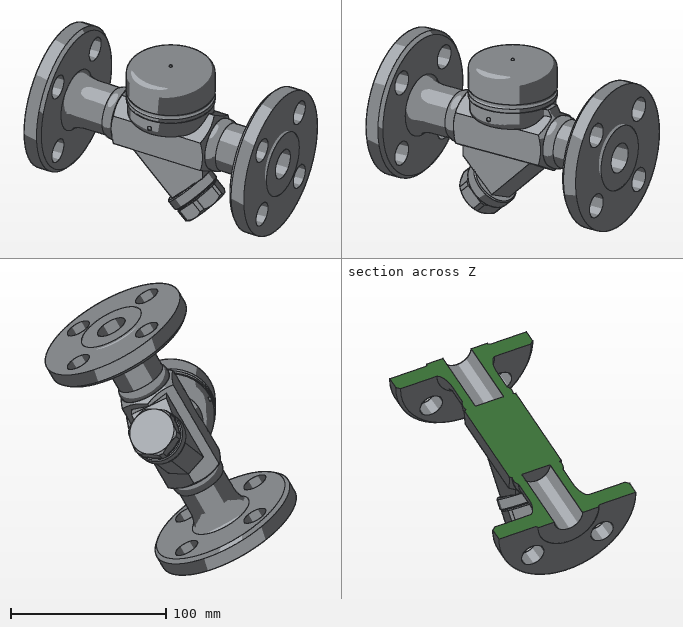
import cadquery as cq
import math

length = 165.0
half_length = length / 2
bore_diameter = 20.0

flange_diameter = 98.0
flange_thickness = 11.5
flange_chamfer = 2.3
raised_face_diameter = 43.5
raised_face_height = 1.6
bolt_hole_diameter = 16.0
bolt_offset = 24.8

pipe_diameter = 32.0
hub_radius = 18.2
hub_root_radius = 20.6
hub_root_length = 2.6
hub_length = 9.4
collar_radius = 17.2
collar_crown_radius = 17.5
collar_crown = 3.3
collar_length = 7.3

block_flats = 37.0
block_half_length = 34.5
block_end_radius = 17.0
block_chamfer_angle = 30.0
rib_width = 10.0
rib_top = 23.0
rib_fillet = 1.6

seat_diameter = 56.0
seat_top = 24.0
seat_corner_z = 15.7
seat_corner_radius = 5.1
seat_root_cone = 2.3
button_diameter = 3.0
button_z = 17.3

cap_diameter = 57.5
cap_top = 48.8
cap_corner_radius = 5.5
cap_groove_bottom = 26.9
cap_groove_width = 3.1
cap_groove_depth = 1.2
centre_dot_diameter = 2.0
centre_dot_height = 1.2

branch_axis_offset = 17.8
branch_flats = 25.2
branch_start = -5.0
branch_end = 36.3
branch_roof = 12.4
branch_side_x = 30.2
boss_diameter = 34.0
boss_end = 44.5
boss_chamfer = 0.8
neck_radius = 15.2
head_start = 45.5
head_end = 55.0
head_flats = 30.0
head_corner_radius = 16.5
head_chamfer = 1.5

flange_outer_x = half_length - raised_face_height
flange_back_x = flange_outer_x - flange_thickness
hub_end_x = flange_back_x - hub_root_length
pipe_start_x = hub_end_x - hub_length
pipe_radius = pipe_diameter / 2
seat_radius = seat_diameter / 2
cap_radius = cap_diameter / 2

branch_frame = cq.Plane(origin=(0, 0, 0), xDir=(1, 0, 1), normal=(1, 0, -1))


def hexagon_points(flats):
    """Corners of a hexagon with two corners on its local X axis."""
    corner_radius = flats / math.sqrt(3)
    angles = [math.radians(60 * i) for i in range(6)]
    return [(corner_radius * math.cos(a), corner_radius * math.sin(a)) for a in angles]


def make_flanged_pipe():
    """Flange, hub, pipe and collar on the +X side, as one revolved outline."""
    rim = flange_diameter / 2
    face = raised_face_diameter / 2
    crown_x = block_half_length + collar_crown
    collar_end_x = block_half_length + collar_length
    outline = (
        cq.Workplane("XY")
        .moveTo(0, 0)
        .lineTo(0, pipe_radius)
        .lineTo(block_half_length, pipe_radius)
        .lineTo(block_half_length, collar_radius)
        .threePointArc((crown_x, collar_crown_radius), (collar_end_x, pipe_radius))
        .lineTo(pipe_start_x, pipe_radius)
        .tangentArcPoint((hub_end_x, hub_radius), relative=False)
        .tangentArcPoint((flange_back_x, hub_root_radius), relative=False)
        .lineTo(flange_back_x, rim - flange_chamfer)
        .lineTo(flange_back_x + flange_chamfer, rim)
        .lineTo(flange_outer_x, rim)
        .lineTo(flange_outer_x, face + raised_face_height)
        .radiusArc((half_length, face), -raised_face_height)
        .lineTo(half_length, 0)
        .close()
    )
    pipe = outline.revolve(360, (0, 0, 0), (1, 0, 0))
    bolt_holes = (
        cq.Workplane("YZ", origin=(flange_back_x, 0, 0))
        .rect(2 * bolt_offset, 2 * bolt_offset, forConstruction=True)
        .vertices()
        .circle(bolt_hole_diameter / 2)
        .extrude(flange_thickness)
    )
    return pipe.cut(bolt_holes)


def make_bore():
    """Blind bore from the +X face to the end of the centre block."""
    return (
        cq.Workplane("YZ", origin=(block_half_length, 0, 0))
        .circle(bore_diameter / 2)
        .extrude(half_length - block_half_length)
    )


def make_centre_block():
    """Hexagonal bar and inlet rib, with conical chamfers at both ends."""
    hexagon = (
        cq.Workplane(cq.Plane(origin=(-block_half_length, 0, 0), xDir=(0, 0, 1), normal=(1, 0, 0)))
        .polyline(hexagon_points(block_flats))
        .close()
        .extrude(2 * block_half_length)
    )
    rib = cq.Workplane("XY").box(block_half_length, rib_width, rib_top, centered=(False, True, False))
    rib = rib.translate((-block_half_length, 0, 0))
    chamfer_radius = rib_top + rib_width
    chamfer_length = (chamfer_radius - block_end_radius) * math.tan(math.radians(block_chamfer_angle))
    envelope = (
        cq.Workplane("XY")
        .moveTo(-block_half_length, 0)
        .lineTo(-block_half_length, block_end_radius)
        .lineTo(-block_half_length + chamfer_length, chamfer_radius)
        .lineTo(block_half_length - chamfer_length, chamfer_radius)
        .lineTo(block_half_length, block_end_radius)
        .lineTo(block_half_length, 0)
        .close()
        .revolve(360, (0, 0, 0), (1, 0, 0))
    )
    return hexagon.union(rib).intersect(envelope)


def make_seat():
    """Bowl-shaped round seat with a conical root that runs out on the block flats."""
    floor_z = seat_corner_z - seat_corner_radius
    floor_radius = seat_radius - seat_corner_radius
    root_radius = block_flats / 2
    return (
        cq.Workplane("XZ")
        .moveTo(0, seat_top)
        .lineTo(seat_radius, seat_top)
        .lineTo(seat_radius, seat_corner_z)
        .tangentArcPoint((floor_radius, floor_z), relative=False)
        .lineTo(root_radius + seat_root_cone, floor_z)
        .lineTo(root_radius, floor_z - seat_root_cone)
        .lineTo(0, floor_z - seat_root_cone)
        .close()
        .revolve(360, (0, 0, 0), (0, 1, 0))
    )


def make_buttons():
    """Small balls set half into the front and back of the seat."""
    return (
        cq.Workplane("XY")
        .pushPoints([(0, -seat_radius), (0, seat_radius)])
        .sphere(button_diameter / 2)
        .translate((0, 0, button_z))
    )


def make_branch():
    """Hexagonal strainer branch with flat sides that run up into the block."""
    half_width = branch_flats / 2
    corner = branch_flats / math.sqrt(3)
    profile = [
        (-branch_axis_offset - corner, 0),
        (-branch_axis_offset - corner / 2, half_width),
        (branch_roof, half_width),
        (branch_roof, -half_width),
        (-branch_axis_offset - corner / 2, -half_width),
    ]
    branch = (
        cq.Workplane(branch_frame)
        .workplane(offset=branch_start)
        .polyline(profile)
        .close()
        .extrude(branch_end - branch_start)
    )
    beyond_side = cq.Workplane("XY").box(length, length, length).translate((branch_side_x + length / 2, 0, 0))
    return branch.cut(beyond_side)


def branch_cylinder(start, end, radius):
    """Cylinder on the branch axis."""
    return (
        cq.Workplane(branch_frame)
        .workplane(offset=start)
        .center(-branch_axis_offset, 0)
        .circle(radius)
        .extrude(end - start)
    )


def make_strainer_end():
    """Round boss, short neck and hexagonal head closing the branch."""
    boss = branch_cylinder(branch_end, boss_end, boss_diameter / 2).edges().chamfer(boss_chamfer)
    neck = branch_cylinder(boss_end, head_start, neck_radius)
    head = (
        cq.Workplane(branch_frame)
        .workplane(offset=head_start)
        .center(-branch_axis_offset, 0)
        .polyline(hexagon_points(head_flats))
        .close()
        .extrude(head_end - head_start)
    )
    turned = branch_cylinder(head_start, head_end, head_corner_radius)
    turned = turned.faces(cq.selectors.DirectionMinMaxSelector(cq.Vector(1, 0, -1), True)).chamfer(head_chamfer)
    return boss.union(neck).union(head.intersect(turned))


def make_body():
    """Valve body with both flanges, the seat and the strainer branch."""
    rib_corner_x = -math.sqrt(seat_radius**2 - (rib_width / 2) ** 2)
    near = 0.2
    body = make_centre_block().union(make_seat())
    for side in (-1, 1):
        y = side * rib_width / 2
        corner = cq.selectors.BoxSelector(
            (rib_corner_x - near, y - near, block_flats / 2),
            (rib_corner_x + near, y + near, rib_top),
        )
        body = body.edges(corner).edges("|Z").fillet(rib_fillet)
    body = body.union(make_branch()).union(make_strainer_end()).union(make_buttons())
    for turn in (0, 180):
        body = body.union(make_flanged_pipe().rotate((0, 0, 0), (0, 0, 1), turn))
    for turn in (0, 180):
        body = body.cut(make_bore().rotate((0, 0, 0), (0, 0, 1), turn))
    return body


def make_cap():
    """Round cap with a rounded groove near its base and a dot on top."""
    groove_top = cap_groove_bottom + cap_groove_width
    groove_middle = cap_groove_bottom + cap_groove_width / 2
    cap = (
        cq.Workplane("XZ")
        .moveTo(0, seat_top)
        .lineTo(cap_radius, seat_top)
        .lineTo(cap_radius, cap_groove_bottom)
        .threePointArc((cap_radius - cap_groove_depth, groove_middle), (cap_radius, groove_top))
        .lineTo(cap_radius, cap_top - cap_corner_radius)
        .tangentArcPoint((cap_radius - cap_corner_radius, cap_top), relative=False)
        .lineTo(0, cap_top)
        .close()
        .revolve(360, (0, 0, 0), (0, 1, 0))
    )
    dot_radius = centre_dot_diameter / 2
    dot = cq.Workplane("XY").sphere(dot_radius).translate((0, 0, cap_top + centre_dot_height - dot_radius))
    return cap.union(dot)


body = make_body()
cap = make_cap()

result = cq.Compound.makeCompound([body.val(), cap.val()])